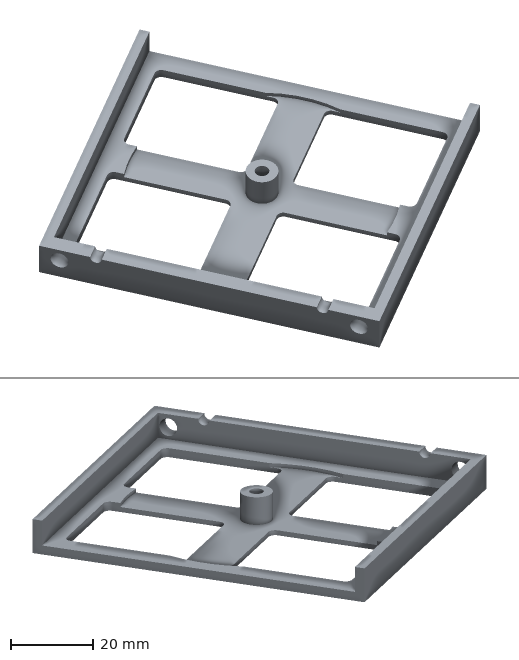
import cadquery as cq

length = 87.0
depth = 80.0
height = 8.9

side_wall = 2.5
front_wall = 4.0
floor_thickness = 2.35

recess_radius = 34.0
recess_depth = 1.05
recess_floor = floor_thickness - recess_depth

window_outer_x = 37.4
window_outer_y = 32.6
rib_width_x = 11.8
rib_width_y = 10.3
window_corner_radius = 1.7

boss_diameter = 8.0
boss_bore = 3.6
boss_top = 8.5

pin_hole_diameter = 4.6
pin_hole_inset = 5.2
pin_hole_drop = 3.4
notch_radius = 1.5
notch_inset = 14.5

front_face = -depth / 2
floor_center_y = front_wall / 2


def make_tray():
    """Floor with two side walls and a front wall, open at the back."""
    block = cq.Workplane("XY").box(length, depth, height, centered=(True, True, False))
    cavity = (
        cq.Workplane("XY", origin=(0, floor_center_y, floor_thickness))
        .rect(length - 2 * side_wall, depth - front_wall)
        .extrude(height - floor_thickness)
    )
    return block.cut(cavity)


def make_recess():
    return (
        cq.Workplane("XY", origin=(0, floor_center_y, recess_floor))
        .circle(recess_radius)
        .extrude(recess_depth)
    )


def make_windows():
    size_x = window_outer_x - rib_width_x / 2
    size_y = window_outer_y - rib_width_y / 2
    pitch_x = window_outer_x + rib_width_x / 2
    pitch_y = window_outer_y + rib_width_y / 2
    return (
        cq.Workplane("XY", origin=(0, floor_center_y, 0))
        .rarray(pitch_x, pitch_y, 2, 2)
        .rect(size_x, size_y)
        .extrude(floor_thickness)
        .edges("|Z")
        .fillet(window_corner_radius)
    )


def make_center_cylinder(diameter, top):
    return cq.Workplane("XY", origin=(0, floor_center_y, 0)).circle(diameter / 2).extrude(top)


def make_front_wall_cuts(radius, inset, drop):
    """Mirrored pair of round cuts through the front wall, placed from its ends and top."""
    offset_x = length / 2 - inset
    return (
        cq.Workplane("XZ", origin=(0, front_face, height - drop))
        .pushPoints([(-offset_x, 0), (offset_x, 0)])
        .circle(radius)
        .extrude(-front_wall)
    )


result = (
    make_tray()
    .cut(make_recess())
    .cut(make_windows())
    .union(make_center_cylinder(boss_diameter, boss_top))
    .cut(make_center_cylinder(boss_bore, boss_top))
    .cut(make_front_wall_cuts(pin_hole_diameter / 2, pin_hole_inset, pin_hole_drop))
    .cut(make_front_wall_cuts(notch_radius, notch_inset, 0))
)